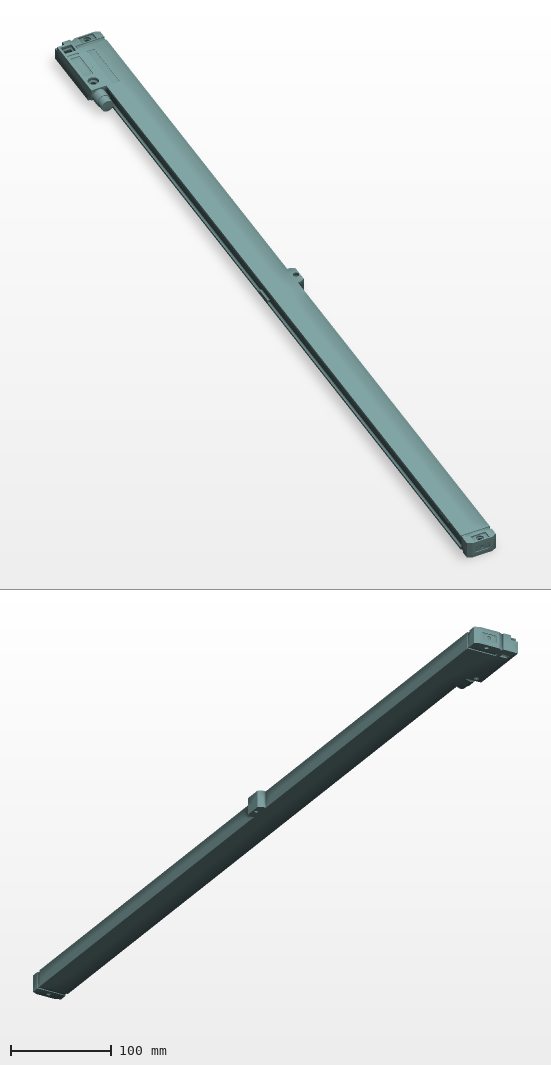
import cadquery as cq

LENGTH = 875.0
WIDTH = 57.0
HEIGHT = 18.0

BEAM_WIDTH = 32.0
SUPPORT_REACH = 8.0
BEAM_BACK = WIDTH / 2 - SUPPORT_REACH
BEAM_FRONT = BEAM_BACK - BEAM_WIDTH
BEAM_MID_Y = (BEAM_BACK + BEAM_FRONT) / 2
CAP_LENGTH = 11.0
GASKET_LENGTH = 4.0
GASKET_INSET = 1.0
BEAM_LENGTH = LENGTH - 2 * (CAP_LENGTH + GASKET_LENGTH)

GROOVE_HEIGHT = 13.0
GROOVE_DEPTH = 3.0
LIP_TAB_LENGTH = 18.0
LIP_TAB_DROP = 3.0
UPPER_TAB_X = 384.0
SUPPORT_X = -12.0

LABEL_LENGTH = 56.0
LABEL_WIDTH = 8.0
LABEL_DEPTH = 0.4
LABEL_X = -386.0
LABEL_Y = -1.0

CAP_CHAMFER_X = 3.0
CAP_CHAMFER_Y = 5.0
CAP_RECESS_LENGTH = 9.0
CAP_RECESS_WIDTH = 17.0
CAP_RECESS_DEPTH = 2.0
CAP_BORE_DIAMETER = 8.0
CAP_BORE_DEPTH = 3.5
CAP_HOLE_DIAMETER = 4.0
CAP_SLOT_WIDTH = 16.0
CAP_SLOT_HEIGHT = 8.0
CAP_SLOT_DEPTH = 1.0
CAP_PORT_DIAMETER = 4.0
CAP_PORT_DEPTH = 2.0

SUPPORT_WIDTH = 24.0
SUPPORT_TAPER_X = 3.0
SUPPORT_TAPER_Y = 5.0
SUPPORT_BORE_DIAMETER = 6.0
SUPPORT_BORE_DEPTH = 3.5
SUPPORT_HOLE_DIAMETER = 3.5

HEAD_LENGTH = 80.0
HEAD_LEFT = -LENGTH / 2
HEAD_RIGHT = HEAD_LEFT + HEAD_LENGTH
HEAD_FRONT = -WIDTH / 2
HEAD_WIDTH = BEAM_FRONT - HEAD_FRONT
HEAD_MID_Y = (BEAM_FRONT + HEAD_FRONT) / 2
HEAD_PLATE_LENGTH = 31.0
HEAD_PLATE_WIDTH = 10.5
HEAD_PLATE_DEPTH = 1.0
HEAD_PLATE_X = -395.5
HEAD_GROOVE_WIDTH = 3.0
HEAD_GROOVE_X = -415.0
HEAD_SLOT_X = -425.0
HEAD_SLOT_LENGTH = 5.0
HEAD_SLOT_WIDTH = 8.0
HEAD_SLOT_SEAT_LENGTH = 10.5
HEAD_HOLE_X = -370.0
HEAD_HOLE_DIAMETER = 5.0
HEAD_BORE_DIAMETER = 11.0
HEAD_SEAT_WIDTH = 12.0
HEAD_SEAT_DEPTH = 3.5
CORNER_NOTCH_LENGTH = 4.0
CORNER_NOTCH_WIDTH = 8.0
CORNER_NOTCH_DEPTH = 5.0
FOOT_NOTCH_LENGTH = 7.0
FOOT_NOTCH_HEIGHT = 5.0

GLAND_DIAMETER = 15.0
GLAND_LENGTH = 10.5
GLAND_NOSE_DIAMETER = 13.0
GLAND_NOSE_LENGTH = 9.0


def block(size_x, size_y, size_z, x, y, z):
    """Box of the given size centred at (x, y, z)."""
    return cq.Workplane("XY").box(size_x, size_y, size_z).translate((x, y, z))


def top_recess(size_x, size_y, depth, x, y):
    """Box that cuts a rectangular recess of the given depth into the top face."""
    return block(size_x, size_y, depth, x, y, (HEIGHT - depth) / 2)


def drill(diameter, x, y, depth=HEIGHT):
    """Vertical cylinder that cuts down from the top face."""
    return cq.Workplane("XY", origin=(x, y, HEIGHT / 2)).circle(diameter / 2).extrude(-depth)


def make_beam():
    """Long bar with a grooved front, groove-lip tabs and a label recess."""
    beam = block(BEAM_LENGTH, BEAM_WIDTH, HEIGHT, 0, BEAM_MID_Y, 0)
    groove_y = BEAM_FRONT + GROOVE_DEPTH / 2
    beam = beam.cut(block(BEAM_LENGTH, GROOVE_DEPTH, GROOVE_HEIGHT, 0, groove_y, 0))
    tab_z = (GROOVE_HEIGHT - LIP_TAB_DROP) / 2
    for tab_x, side in ((UPPER_TAB_X, 1), (SUPPORT_X, -1)):
        beam = beam.union(block(LIP_TAB_LENGTH, GROOVE_DEPTH, LIP_TAB_DROP, tab_x, groove_y, side * tab_z))
    return beam.cut(top_recess(LABEL_LENGTH, LABEL_WIDTH, LABEL_DEPTH, LABEL_X, LABEL_Y))


def make_right_cap():
    """End cap for +X with its gasket, chamfered corners, mounting hole and end port."""
    tip = LENGTH / 2
    inner = tip - CAP_LENGTH
    cap = (
        cq.Workplane("XY", origin=(0, 0, -HEIGHT / 2))
        .polyline([
            (inner, BEAM_FRONT),
            (tip - CAP_CHAMFER_X, BEAM_FRONT),
            (tip, BEAM_FRONT + CAP_CHAMFER_Y),
            (tip, BEAM_BACK - CAP_CHAMFER_Y),
            (tip - CAP_CHAMFER_X, BEAM_BACK),
            (inner, BEAM_BACK),
        ])
        .close()
        .extrude(HEIGHT)
    )
    gasket = block(
        GASKET_LENGTH,
        BEAM_WIDTH - 2 * GASKET_INSET,
        HEIGHT - 2 * GASKET_INSET,
        inner - GASKET_LENGTH / 2,
        BEAM_MID_Y,
        0,
    )
    hole_x = inner + CAP_LENGTH / 2
    slot_x = tip - CAP_SLOT_DEPTH / 2
    port = (
        cq.Workplane("YZ", origin=(tip, BEAM_MID_Y, 0))
        .circle(CAP_PORT_DIAMETER / 2)
        .extrude(-CAP_PORT_DEPTH)
    )
    return (
        cap.union(gasket)
        .cut(top_recess(CAP_RECESS_LENGTH, CAP_RECESS_WIDTH, CAP_RECESS_DEPTH, hole_x, BEAM_MID_Y))
        .cut(drill(CAP_BORE_DIAMETER, hole_x, BEAM_MID_Y, CAP_BORE_DEPTH))
        .cut(drill(CAP_HOLE_DIAMETER, hole_x, BEAM_MID_Y))
        .cut(block(CAP_SLOT_DEPTH, CAP_SLOT_WIDTH, CAP_SLOT_HEIGHT, slot_x, BEAM_MID_Y, 0))
        .cut(port)
    )


def make_support():
    """Tapered mounting lug on the back of the beam with a counterbored hole."""
    half = SUPPORT_WIDTH / 2
    tip = BEAM_BACK + SUPPORT_REACH
    lug = (
        cq.Workplane("XY", origin=(SUPPORT_X, 0, -HEIGHT / 2))
        .polyline([
            (-half, BEAM_BACK),
            (half, BEAM_BACK),
            (half, tip - SUPPORT_TAPER_Y),
            (half - SUPPORT_TAPER_X, tip),
            (SUPPORT_TAPER_X - half, tip),
            (-half, tip - SUPPORT_TAPER_Y),
        ])
        .close()
        .extrude(HEIGHT)
    )
    hole_y = BEAM_BACK + SUPPORT_REACH / 2
    return (
        lug.cut(drill(SUPPORT_BORE_DIAMETER, SUPPORT_X, hole_y, SUPPORT_BORE_DEPTH))
        .cut(drill(SUPPORT_HOLE_DIAMETER, SUPPORT_X, hole_y))
    )


def make_scale():
    """Complete scale housing: beam, both caps and the middle support."""
    right_cap = make_right_cap()
    return make_beam().union(right_cap).union(right_cap.mirror("YZ")).union(make_support())


def make_gland():
    """Two-step round cable gland along +X from the end of the reading head."""
    return (
        cq.Workplane("YZ", origin=(HEAD_RIGHT, HEAD_MID_Y, 0))
        .circle(GLAND_DIAMETER / 2)
        .extrude(GLAND_LENGTH)
        .faces(">X")
        .workplane()
        .circle(GLAND_NOSE_DIAMETER / 2)
        .extrude(GLAND_NOSE_LENGTH)
    )


def make_reading_head():
    """Reading head block with mounting slot, mounting hole, top recess and gland."""
    head = block(HEAD_LENGTH, HEAD_WIDTH, HEIGHT, HEAD_LEFT + HEAD_LENGTH / 2, HEAD_MID_Y, 0)
    head = (
        head.cut(top_recess(HEAD_PLATE_LENGTH, HEAD_PLATE_WIDTH, HEAD_PLATE_DEPTH, HEAD_PLATE_X, HEAD_MID_Y))
        .cut(top_recess(HEAD_GROOVE_WIDTH, HEAD_SEAT_WIDTH, HEAD_PLATE_DEPTH, HEAD_GROOVE_X, HEAD_MID_Y))
        .cut(top_recess(HEAD_SLOT_SEAT_LENGTH, HEAD_SEAT_WIDTH, HEAD_SEAT_DEPTH, HEAD_SLOT_X, HEAD_MID_Y))
        .cut(top_recess(HEAD_SLOT_LENGTH, HEAD_SLOT_WIDTH, HEIGHT, HEAD_SLOT_X, HEAD_MID_Y))
        .cut(drill(HEAD_BORE_DIAMETER, HEAD_HOLE_X, HEAD_MID_Y, HEAD_SEAT_DEPTH))
        .cut(drill(HEAD_HOLE_DIAMETER, HEAD_HOLE_X, HEAD_MID_Y))
    )
    corner_notch = top_recess(
        CORNER_NOTCH_LENGTH,
        CORNER_NOTCH_WIDTH,
        CORNER_NOTCH_DEPTH,
        HEAD_LEFT + CORNER_NOTCH_LENGTH / 2,
        HEAD_FRONT + CORNER_NOTCH_WIDTH / 2,
    )
    foot_notch = block(
        FOOT_NOTCH_LENGTH,
        HEAD_WIDTH,
        FOOT_NOTCH_HEIGHT,
        HEAD_RIGHT - FOOT_NOTCH_LENGTH / 2,
        HEAD_MID_Y,
        (FOOT_NOTCH_HEIGHT - HEIGHT) / 2,
    )
    return head.cut(corner_notch).union(make_gland()).cut(foot_notch)


scale = make_scale()
reading_head = make_reading_head()
result = cq.Compound.makeCompound([scale.val(), reading_head.val()])